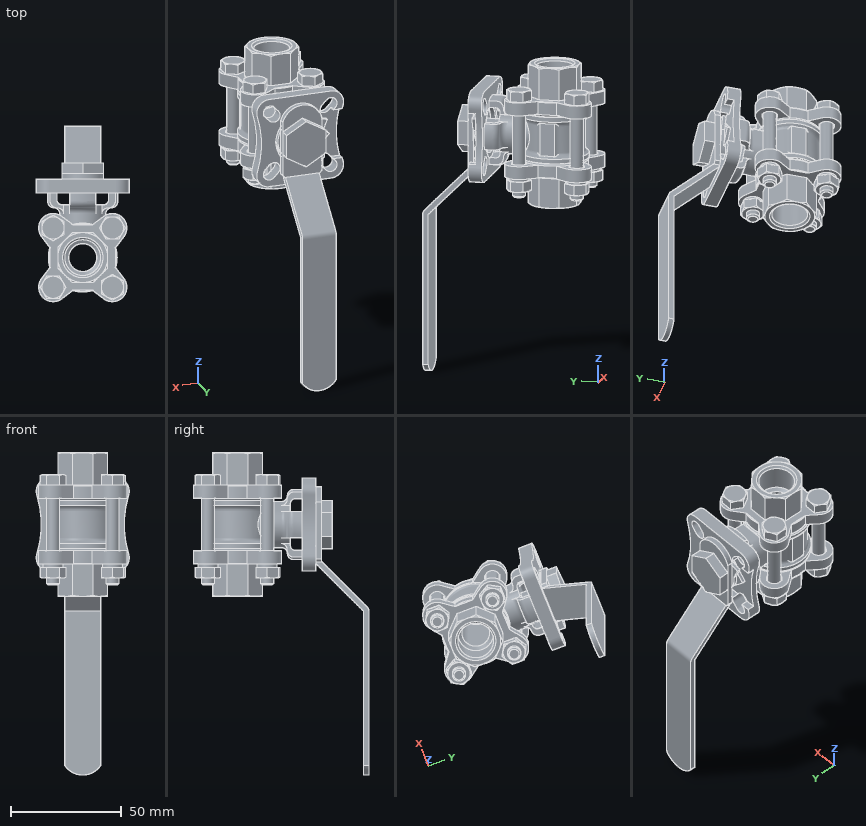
import cadquery as cq
import math


END_Z = 32.5
OCTAGON_FLATS = 22.5
OCTAGON_CORNERS = OCTAGON_FLATS / math.cos(math.pi / 8)
BORE_DIAMETER = 12.5
PORT_DIAMETER = 16.1
PORT_DEPTH = 13.1
PORT_CONE_DEPTH = 1.0
PORT_CHAMFER = 1.0
BARREL_RADIUS = 14.0
PANEL_HALF_HEIGHT = 6.1
CAP_DISC_RADIUS = 30.5 / 2
RING_RADIUS = 15.5
FLANGE_INNER_Z = 11.8
FLANGE_OUTER_Z = 17.7
CAP_DISC_OUTER_Z = 17.5
RING_OUTER_Z = 10.8
RING_INNER_Z = 8.6
RING_FOOT_Z = 7.5
RING_FOOT_RADIUS = 29.0 / 2
SEAL_RADIUS = 14.5

PAD_FACE_X = -14.4
PAD_HALF_WIDTH = 3.3
PAD_STEP_X = -13.5
PAD_STEP_HALF_WIDTH = 4.2
PAD_FOOT_HALF_WIDTH = 5.0

BOLT_COUNT = 4
BOLT_OFFSET = 13.4
EAR_RADIUS = 6.5
EAR_ROOT_HALF_WIDTH = 4.2
BOLT_DIAMETER = 6.0
BOLT_HOLE_DIAMETER = 7.0
BOLT_HEX_FLATS = 10.0
BOLT_HEX_HEIGHT = 4.8
WASHER_DIAMETER = 9.0
WASHER_THICKNESS = 1.6
BOLT_END_Z = -27.2
BOLT_END_CHAMFER = 0.7

BONNET_RADIUS = 21.0 / 2
BONNET_TOP_Y = 23.9
BELL_BASE_Y = 22.4
BELL_OUTER_RADIUS = 15.9
BELL_INNER_RADIUS = 26.0 / 2
BELL_FOOT_FILLET = 2.5
BELL_INNER_FILLET = 2.0
LEG_WIDTH = 12.0

MOUNT_BOTTOM_Y = 29.1
MOUNT_TOP_Y = 35.3
MOUNT_HALF_SIZE = 42.0 / 2
MOUNT_CORNER_RADIUS = 6.0
WAIST_START_Z = 13.4
WAIST_HALF_WIDTH = 18.8
SLOT_WIDTH = 6.0
SLOT_INNER_RADIUS = 18.0
SLOT_OUTER_RADIUS = 21.0
RECESS_FLOOR_Y = 32.1
RECESS_RADIUS = 11.8
MOUNT_BORE_DIAMETER = 21.0
MOUNT_COUNTERBORE_DEPTH = 0.7

STEM_DIAMETER = 10.0
STEM_BOTTOM_Y = 14.5
STOP_RADIUS = 10.8
STOP_SPLIT_Y = 33.7
STOP_POINT_HALF_WIDTH = 6.0
STOP_POINT_X = -14.7
TOOTH_TOP_Z = 7.5
TOOTH_ROOT_Z = 1.6
TOOTH_TIP_X = -13.1
HEAD_FLATS = 18.9
HEAD_HEIGHT = 4.8

LEVER_THICKNESS = 2.6
LEVER_WIDTH = 16.3
LEVER_OUTER_Y = 59.3
OVERALL_HEIGHT = 145.5
LEVER_END_Z = END_Z - OVERALL_HEIGHT
LEVER_TIP_HEIGHT = 4.4
LEVER_LOWER_BEND_Z = -38.0
LEVER_BEND_RADIUS = 3.2
EYE_WIDTH = HEAD_FLATS
EYE_TOP_Z = 17.2
EYE_ARC_START_Z = 10.2
EYE_SHOULDER_Z = -15.5


def rod(radius, bottom, top):
    """Cylinder about the Z axis."""
    return cq.Workplane("XY").workplane(offset=bottom).circle(radius).extrude(top - bottom)


def stem_rod(radius, bottom, top):
    """Cylinder about the Y axis."""
    return cq.Workplane("XZ", origin=(0, bottom, 0)).circle(radius).extrude(bottom - top)


def chamfering_cone(end_radius, corner_radius, bottom, top):
    """Rod about Z whose upper rim slopes at 30 degrees, for trimming the corners of a prism."""
    slope_height = (corner_radius - end_radius) * math.tan(math.radians(30))
    outline = [(0, bottom), (corner_radius, bottom), (corner_radius, top - slope_height),
               (end_radius, top), (0, top)]
    return cq.Workplane("XZ").polyline(outline).close().revolve(360, (0, 0), (0, 1))


def end_cap():
    """Upper end cap: octagonal socket, disc and four bolt ears."""
    socket = (cq.Workplane("XY").workplane(offset=FLANGE_INNER_Z)
              .polygon(8, OCTAGON_CORNERS).extrude(END_Z - FLANGE_INNER_Z)
              .rotate((0, 0, 0), (0, 0, 1), 22.5))
    socket = socket.intersect(
        chamfering_cone(OCTAGON_FLATS / 2, OCTAGON_CORNERS / 2, FLANGE_INNER_Z, END_Z))
    disc = rod(CAP_DISC_RADIUS, FLANGE_INNER_Z, CAP_DISC_OUTER_Z)
    cap = socket.union(disc)
    for turn in range(BOLT_COUNT):
        cap = cap.union(bolt_ear().rotate((0, 0, 0), (0, 0, 1), turn * 360 / BOLT_COUNT))
    return cap


def bolt_ear():
    """Ear in the +X +Y corner, with sides running tangent to its round end."""
    root_reach = math.sqrt(CAP_DISC_RADIUS**2 - EAR_ROOT_HALF_WIDTH**2)
    along = BOLT_OFFSET - EAR_ROOT_HALF_WIDTH
    across = BOLT_OFFSET - root_reach
    root_distance = math.hypot(along, across)
    side_angle = math.atan2(across, along) + math.asin(EAR_RADIUS / root_distance)
    side_length = math.sqrt(root_distance**2 - EAR_RADIUS**2)
    tangent_a = EAR_ROOT_HALF_WIDTH + side_length * math.cos(side_angle)
    tangent_b = root_reach + side_length * math.sin(side_angle)
    tip = BOLT_OFFSET + EAR_RADIUS / math.sqrt(2)
    return (cq.Workplane("XY").workplane(offset=FLANGE_INNER_Z)
            .moveTo(0, 0)
            .lineTo(0, root_reach)
            .lineTo(EAR_ROOT_HALF_WIDTH, root_reach)
            .lineTo(tangent_a, tangent_b)
            .threePointArc((tip, tip), (tangent_b, tangent_a))
            .lineTo(root_reach, EAR_ROOT_HALF_WIDTH)
            .lineTo(root_reach, 0)
            .close()
            .extrude(FLANGE_OUTER_Z - FLANGE_INNER_Z)
            .cut(rod(BOLT_HOLE_DIAMETER / 2, FLANGE_INNER_Z, FLANGE_OUTER_Z)
                 .translate((BOLT_OFFSET, BOLT_OFFSET, 0))))


def half_barrel():
    """Upper half of the round centre section, with its ring and seal groove."""
    return (cq.Workplane("XZ")
            .moveTo(0, 0)
            .lineTo(BARREL_RADIUS, 0)
            .lineTo(BARREL_RADIUS, PANEL_HALF_HEIGHT)
            .tangentArcPoint((RING_FOOT_RADIUS, RING_FOOT_Z), relative=False)
            .lineTo(RING_RADIUS, RING_INNER_Z)
            .lineTo(RING_RADIUS, RING_OUTER_Z)
            .lineTo(SEAL_RADIUS, RING_OUTER_Z)
            .lineTo(CAP_DISC_RADIUS, FLANGE_INNER_Z)
            .lineTo(0, FLANGE_INNER_Z)
            .close()
            .revolve(360, (0, 0), (0, 1)))


def side_pad():
    """Flat-topped pad that spans the barrel between its two rings."""
    foot_x = -math.sqrt(BARREL_RADIUS**2 - PAD_FOOT_HALF_WIDTH**2)
    outline = [(0, -PAD_FOOT_HALF_WIDTH),
               (foot_x, -PAD_FOOT_HALF_WIDTH),
               (PAD_STEP_X, -PAD_STEP_HALF_WIDTH),
               (PAD_FACE_X, -PAD_HALF_WIDTH),
               (PAD_FACE_X, PAD_HALF_WIDTH),
               (PAD_STEP_X, PAD_STEP_HALF_WIDTH),
               (foot_x, PAD_FOOT_HALF_WIDTH),
               (0, PAD_FOOT_HALF_WIDTH)]
    return (cq.Workplane("XY").workplane(offset=-RING_FOOT_Z)
            .polyline(outline).close().extrude(2 * RING_FOOT_Z))


def half_bore():
    """Upper half of the through bore, with its wider chamfered port."""
    port_floor_z = END_Z - PORT_DEPTH
    outline = [(0, 0),
               (BORE_DIAMETER / 2, 0),
               (BORE_DIAMETER / 2, port_floor_z - PORT_CONE_DEPTH),
               (PORT_DIAMETER / 2, port_floor_z),
               (PORT_DIAMETER / 2, END_Z - PORT_CHAMFER),
               (PORT_DIAMETER / 2 + PORT_CHAMFER, END_Z),
               (0, END_Z)]
    return cq.Workplane("XZ").polyline(outline).close().revolve(360, (0, 0), (0, 1))


def bolt_hexagon(bottom):
    """Hexagon of a bolt head or nut about Z, chamfered at its upper end."""
    corners = BOLT_HEX_FLATS / math.cos(math.pi / 6)
    top = bottom + BOLT_HEX_HEIGHT
    hexagon = cq.Workplane("XY").workplane(offset=bottom).polygon(6, corners).extrude(BOLT_HEX_HEIGHT)
    return hexagon.intersect(chamfering_cone(BOLT_HEX_FLATS / 2, corners / 2, bottom, top))


def bolt():
    """Bolt in the +X +Y corner, with its head on top and washer and nut below."""
    shank = rod(BOLT_DIAMETER / 2, BOLT_END_Z, FLANGE_OUTER_Z).faces("<Z").chamfer(BOLT_END_CHAMFER)
    washer_bottom = -FLANGE_OUTER_Z - WASHER_THICKNESS
    washer = rod(WASHER_DIAMETER / 2, washer_bottom, -FLANGE_OUTER_Z)
    nut = bolt_hexagon(-washer_bottom).mirror("XY")
    head = bolt_hexagon(FLANGE_OUTER_Z)
    assembled = shank.union(washer).union(nut).union(head)
    return assembled.translate((BOLT_OFFSET, BOLT_OFFSET, 0))


def bell_legs():
    """Turned bell around the stem, cut down to four crossed legs."""
    foot_radius = BONNET_RADIUS + BELL_FOOT_FILLET
    shoulder_radius = BELL_OUTER_RADIUS - foot_radius
    foot_bulge = BELL_FOOT_FILLET * (1 - math.sqrt(0.5))
    shoulder_bulge = shoulder_radius * (1 - math.sqrt(0.5))
    inner_bulge = BELL_INNER_FILLET * (1 - math.sqrt(0.5))
    bell = (cq.Workplane("XY")
            .moveTo(0, BELL_BASE_Y - BELL_FOOT_FILLET)
            .lineTo(BONNET_RADIUS, BELL_BASE_Y - BELL_FOOT_FILLET)
            .threePointArc((BONNET_RADIUS + foot_bulge, BELL_BASE_Y - foot_bulge),
                           (foot_radius, BELL_BASE_Y))
            .threePointArc((BELL_OUTER_RADIUS - shoulder_bulge, BELL_BASE_Y + shoulder_bulge),
                           (BELL_OUTER_RADIUS, BELL_BASE_Y + shoulder_radius))
            .lineTo(BELL_OUTER_RADIUS, MOUNT_BOTTOM_Y)
            .lineTo(BELL_INNER_RADIUS, MOUNT_BOTTOM_Y)
            .lineTo(BELL_INNER_RADIUS, BONNET_TOP_Y + BELL_INNER_FILLET)
            .threePointArc((BELL_INNER_RADIUS - inner_bulge, BONNET_TOP_Y + inner_bulge),
                           (BELL_INNER_RADIUS - BELL_INNER_FILLET, BONNET_TOP_Y))
            .lineTo(0, BONNET_TOP_Y)
            .close()
            .revolve(360, (0, 0), (0, 1)))
    cross_length = 2 * BELL_OUTER_RADIUS
    cross_height = 2 * MOUNT_BOTTOM_Y
    cross = (cq.Workplane("XY").box(cross_length, cross_height, LEG_WIDTH)
             .union(cq.Workplane("XY").box(LEG_WIDTH, cross_height, cross_length)))
    return bell.intersect(cross)


def mounting_flange():
    """Square flange with waisted sides, diagonal slots, a stem bore and a stop recess open toward -X."""
    corner = MOUNT_HALF_SIZE - MOUNT_CORNER_RADIUS
    rise = corner - WAIST_START_Z
    end_x = corner + math.sqrt(MOUNT_CORNER_RADIUS**2 - rise**2)
    arc_middle = corner + MOUNT_CORNER_RADIUS * math.sqrt(0.5)
    half = MOUNT_HALF_SIZE
    flange = (cq.Workplane("XZ", origin=(0, MOUNT_TOP_Y, 0))
              .moveTo(-corner, half)
              .lineTo(corner, half)
              .threePointArc((arc_middle, arc_middle), (end_x, WAIST_START_Z))
              .threePointArc((WAIST_HALF_WIDTH, 0), (end_x, -WAIST_START_Z))
              .threePointArc((arc_middle, -arc_middle), (corner, -half))
              .lineTo(-corner, -half)
              .threePointArc((-arc_middle, -arc_middle), (-end_x, -WAIST_START_Z))
              .threePointArc((-WAIST_HALF_WIDTH, 0), (-end_x, WAIST_START_Z))
              .threePointArc((-arc_middle, arc_middle), (-corner, half))
              .close()
              .extrude(MOUNT_TOP_Y - MOUNT_BOTTOM_Y))
    slot_centre = (SLOT_INNER_RADIUS + SLOT_OUTER_RADIUS) / 2
    slot_length = SLOT_OUTER_RADIUS - SLOT_INNER_RADIUS + SLOT_WIDTH
    slots = (cq.Workplane("XZ", origin=(0, MOUNT_TOP_Y, 0))
             .polarArray(slot_centre, 45, 360, 4)
             .slot2D(slot_length, SLOT_WIDTH)
             .extrude(MOUNT_TOP_Y - MOUNT_BOTTOM_Y))
    recess_depth = MOUNT_TOP_Y - RECESS_FLOOR_Y
    side_opening = (cq.Workplane("XZ", origin=(-half / 2, MOUNT_TOP_Y, 0))
                    .rect(half, 2 * RECESS_RADIUS).extrude(recess_depth))
    recess = stem_rod(RECESS_RADIUS, RECESS_FLOOR_Y, MOUNT_TOP_Y).union(side_opening)
    bore = stem_rod(MOUNT_BORE_DIAMETER / 2, MOUNT_BOTTOM_Y, RECESS_FLOOR_Y)
    counterbore = stem_rod(BELL_INNER_RADIUS, MOUNT_BOTTOM_Y, MOUNT_BOTTOM_Y + MOUNT_COUNTERBORE_DEPTH)
    return flange.cut(slots).cut(recess).cut(bore).cut(counterbore)


def valve_body():
    """Barrel, end caps, bolts, bonnet and mounting flange as one solid."""
    upper_half = half_barrel().union(end_cap())
    body = upper_half.union(upper_half.mirror("XY")).union(side_pad())
    body = body.union(stem_rod(BONNET_RADIUS, 0, BONNET_TOP_Y)).union(bell_legs()).union(mounting_flange())
    for turn in range(BOLT_COUNT):
        body = body.union(bolt().rotate((0, 0, 0), (0, 0, 1), turn * 360 / BOLT_COUNT))
    bore = half_bore().union(half_bore().mirror("XY"))
    return body.cut(bore).cut(stem_rod(STEM_DIAMETER / 2, STEM_BOTTOM_Y, BONNET_TOP_Y))


def stop_plate(bottom, top, outline):
    """Round plate about the stem with a projecting stop of the given XZ outline."""
    projection = cq.Workplane("XZ", origin=(0, bottom, 0)).polyline(outline).close().extrude(bottom - top)
    return stem_rod(STOP_RADIUS, bottom, top).union(projection)


def stem():
    """Stem with two stop plates in the flange recess and a hexagonal head over the lever."""
    head_bottom = MOUNT_TOP_Y + LEVER_THICKNESS
    head = (cq.Workplane("XZ", origin=(0, head_bottom, 0))
            .polygon(6, HEAD_FLATS / math.cos(math.pi / 6)).extrude(-HEAD_HEIGHT)
            .rotate((0, 0, 0), (0, 1, 0), 30))
    point_root_x = -math.sqrt(STOP_RADIUS**2 - STOP_POINT_HALF_WIDTH**2)
    tooth_root_x = -math.sqrt(STOP_RADIUS**2 - TOOTH_ROOT_Z**2)
    pointed_stop = [(0, -STOP_POINT_HALF_WIDTH),
                    (point_root_x, -STOP_POINT_HALF_WIDTH),
                    (STOP_POINT_X, 0),
                    (point_root_x, STOP_POINT_HALF_WIDTH),
                    (0, STOP_POINT_HALF_WIDTH)]
    tooth_stop = [(0, TOOTH_ROOT_Z),
                  (tooth_root_x, TOOTH_ROOT_Z),
                  (TOOTH_TIP_X, TOOTH_TOP_Z),
                  (0, STOP_RADIUS)]
    return (stem_rod(STEM_DIAMETER / 2, STEM_BOTTOM_Y, head_bottom)
            .union(stop_plate(RECESS_FLOOR_Y, STOP_SPLIT_Y, pointed_stop))
            .union(stop_plate(STOP_SPLIT_Y, MOUNT_TOP_Y, tooth_stop))
            .union(head))


def lever():
    """Flat strip with two 45 degree bends and a wide eye around the stem."""
    inner_y = MOUNT_TOP_Y
    outer_y = MOUNT_TOP_Y + LEVER_THICKNESS
    bend_shift = LEVER_THICKNESS * math.tan(math.pi / 8)
    upper_bend_z = LEVER_LOWER_BEND_Z + LEVER_OUTER_Y - outer_y
    side_outline = [(inner_y, EYE_TOP_Z),
                    (outer_y, EYE_TOP_Z),
                    (outer_y, upper_bend_z),
                    (LEVER_OUTER_Y, LEVER_LOWER_BEND_Z),
                    (LEVER_OUTER_Y, LEVER_END_Z),
                    (LEVER_OUTER_Y - LEVER_THICKNESS, LEVER_END_Z),
                    (LEVER_OUTER_Y - LEVER_THICKNESS, LEVER_LOWER_BEND_Z - bend_shift),
                    (inner_y, upper_bend_z - bend_shift)]
    strip = (cq.Workplane("YZ").polyline(side_outline).close()
             .extrude(EYE_WIDTH / 2, both=True))
    lower_bend = cq.selectors.NearestToPointSelector((0, LEVER_OUTER_Y, LEVER_LOWER_BEND_Z))
    strip = strip.edges("|X").edges(lower_bend).fillet(LEVER_BEND_RADIUS)
    neck = LEVER_WIDTH / 2
    eye = EYE_WIDTH / 2
    neck_z = EYE_SHOULDER_Z - (eye - neck)
    tip_start_z = LEVER_END_Z + LEVER_TIP_HEIGHT
    plan = (cq.Workplane("XZ")
            .moveTo(neck, tip_start_z)
            .lineTo(neck, neck_z)
            .lineTo(eye, EYE_SHOULDER_Z)
            .lineTo(eye, EYE_ARC_START_Z)
            .threePointArc((0, EYE_TOP_Z), (-eye, EYE_ARC_START_Z))
            .lineTo(-eye, EYE_SHOULDER_Z)
            .lineTo(-neck, neck_z)
            .lineTo(-neck, tip_start_z)
            .threePointArc((0, LEVER_END_Z), (neck, tip_start_z))
            .close()
            .extrude(-LEVER_OUTER_Y))
    return strip.intersect(plan).cut(stem_rod(STEM_DIAMETER / 2, inner_y, outer_y))


result = cq.Compound.makeCompound([valve_body().val(), stem().val(), lever().val()])